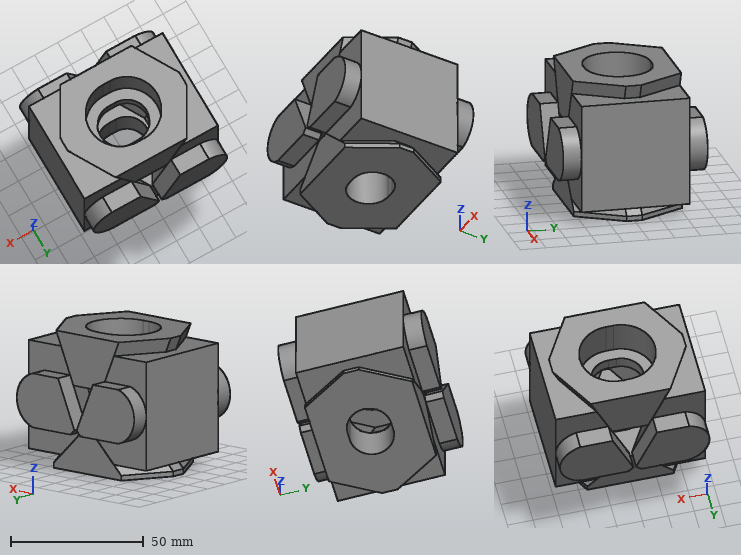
import cadquery as cq
import math

block_length = 58.0
block_side = 42.0
total_width = 56.0
total_height = 53.3

ridge_z = -8.5
ridge_x = 0.5
upper_slope = math.tan(math.radians(23))
lower_slope = math.tan(math.radians(45))

key_angle = 30.0
key_flat = 6.0

boss_height = 20.9
boss_bulge = 7.9

upper_wedge_height = 20.0
lower_wedge_height = 16.0
lower_rim_height = 2.0

slot_travel = 3.0
bolt_hole_diameter = 17.0
counterbore_diameter = 26.0
counterbore_depth = 15.0

half_length = block_length / 2
half_side = block_side / 2
half_flat = key_flat / 2
key_depth = (half_side - half_flat) * math.tan(math.radians(key_angle))
top_z = total_height / 2
bottom_z = -total_height / 2
boss_depth = (total_width - block_side) / 2


def upper_half_width(z):
    """Half width of the upper V opening at the block's Y faces."""
    return ridge_x + (z - ridge_z) * upper_slope


def lower_half_width(z):
    """Half width of the lower V opening at the block's Y faces."""
    return ridge_x + (ridge_z - z) * lower_slope


def keyed_outline(half_width):
    """Plan outline with a blunt V key on both X sides."""
    nose_x = half_width + key_depth
    return [
        (half_width, -half_side),
        (nose_x, -half_flat),
        (nose_x, half_flat),
        (half_width, half_side),
        (-half_width, half_side),
        (-nose_x, half_flat),
        (-nose_x, -half_flat),
        (-half_width, -half_side),
    ]


def keyed_taper(z_bottom, z_top, half_width_at):
    """Keyed block whose half width changes evenly with height."""
    return (
        cq.Workplane("XY", origin=(0, 0, z_bottom))
        .polyline(keyed_outline(half_width_at(z_bottom)))
        .close()
        .workplane(offset=z_top - z_bottom)
        .polyline(keyed_outline(half_width_at(z_top)))
        .close()
        .loft(ruled=True)
    )


def slot_cutter(diameter, z_bottom, z_top):
    """Vertical slot with round ends, long along X."""
    return (
        cq.Workplane("XY", origin=(0, 0, z_bottom))
        .slot2D(diameter + slot_travel, diameter)
        .extrude(z_top - z_bottom)
    )


def make_boss(y_start):
    """Arc-ended boss of the +X jaw, extruded along +Y from y_start."""
    half_height = boss_height / 2
    arc_start_x = half_length - boss_bulge
    return (
        cq.Workplane("XZ", origin=(0, y_start, 0))
        .moveTo(ridge_x, ridge_z)
        .lineTo(upper_half_width(half_height), half_height)
        .lineTo(arc_start_x, half_height)
        .threePointArc((half_length, 0), (arc_start_x, -half_height))
        .lineTo(lower_half_width(-half_height), -half_height)
        .close()
        .extrude(-boss_depth)
    )


def make_jaw():
    """The jaw on the +X side."""
    body = cq.Workplane("XY").box(half_length, block_side, block_side).translate((half_length / 2, 0, 0))
    body = body.cut(keyed_taper(ridge_z, top_z, upper_half_width))
    body = body.cut(keyed_taper(bottom_z, ridge_z, lower_half_width))
    for y_start in (-half_side - boss_depth, half_side):
        body = body.union(make_boss(y_start))
    return body


def make_upper_wedge():
    """Upper wedge with a counterbored slot."""
    wedge_bottom = top_z - upper_wedge_height
    wedge = keyed_taper(wedge_bottom, top_z, upper_half_width)
    wedge = wedge.cut(slot_cutter(bolt_hole_diameter, wedge_bottom, top_z))
    return wedge.cut(slot_cutter(counterbore_diameter, top_z - counterbore_depth, top_z))


def make_lower_wedge():
    """Lower wedge with a straight rim under its slopes and a through slot."""
    rim_top = bottom_z + lower_rim_height
    wedge_top = bottom_z + lower_wedge_height
    rim = (
        cq.Workplane("XY", origin=(0, 0, bottom_z))
        .polyline(keyed_outline(lower_half_width(rim_top)))
        .close()
        .extrude(lower_rim_height)
    )
    wedge = keyed_taper(rim_top, wedge_top, lower_half_width).union(rim)
    return wedge.cut(slot_cutter(bolt_hole_diameter, bottom_z, wedge_top))


jaws = []
for angle in (0, 180):
    jaws.append(make_jaw().rotate((0, 0, 0), (0, 0, 1), angle).solids().val())

upper_wedge = make_upper_wedge().solids().val()
lower_wedge = make_lower_wedge().solids().val()

result = cq.Compound.makeCompound([*jaws, upper_wedge, lower_wedge])